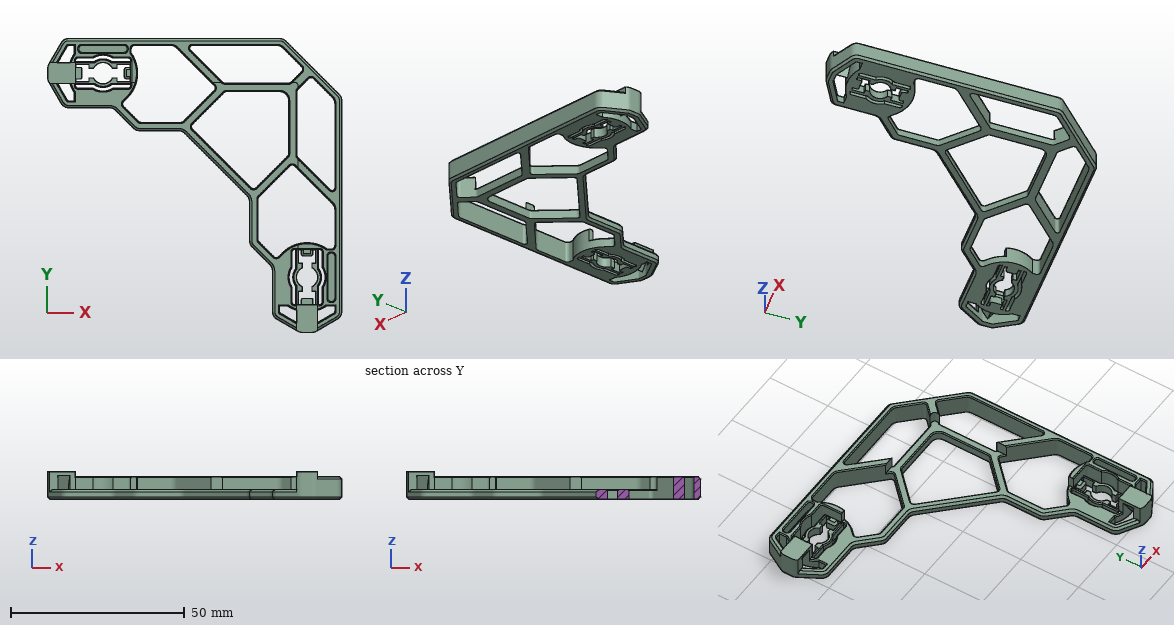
import cadquery as cq
import math

size = 85.0
low_height = 2.9
tall_height = 6.6
block_height = 8.1
outer_chamfer = 0.7
edge_chamfer = 0.3
outline_radius = 2.55
opening_radius = 1.0
wide_radius = 2.55
rib_radius = 2.4
acute_radius = 0.8
tall_limit = 72.3

outer_wall = 2.0
bar_width = 2.5
corner_cut = 16.9
inner_rim = 58.3
inner_diagonal = 97.15
ring_outer = 72.1
ring_diagonal = 18.4
rib_near = 119.5
rib_far = 122.9
corner_rib_width = 2.9

lobe_x = 16.0
lobe_radius = 10.0
lobe_y = size - lobe_radius
tip_half_width = 2.0
tip_slope = 60.0
lobe_neck = 18.9
lobe_step = 24.1

channel_start = 8.1
channel_end = 24.0
channel_half_width = 4.3
channel_bulge = 5.2
channel_radius = 0.7
clip_half_width = 3.3
clip_bulge = 4.2
opening_start = 8.2
opening_end = 23.8
opening_half_width = 2.5
opening_bulge = 3.1
nub_half_length = 4.1
nub_half_gap = 1.4
tab_length = 1.7
tab_half_width = 1.7

tab_radius = 0.4
far_tab_radius = 0.8
tab_bevel = 0.7

block_length = 8.0
block_half_width = 3.1
tip_wall = 2.0
tunnel_end = 7.65
tunnel_roof = 7.0
roof_slope = 60.0

pocket_start = 9.0
pocket_end = 22.95
pocket_bottom = 81.0
pocket_radius = 0.85

diagonal = math.sqrt(2)
rim_inside = size - outer_wall
tip_length = (lobe_radius - tip_half_width) / math.tan(math.radians(tip_slope))
lobe_bottom = lobe_y - lobe_radius
neck_sum = lobe_neck + lobe_bottom
bevel_inside = 2 * size - corner_cut - outer_wall * diagonal
ring_inner = ring_outer - bar_width


def crossing(total, difference):
    """Point where x + y = total meets y - x = difference."""
    return ((total - difference) / 2, (total + difference) / 2)


def mirrored(shape):
    """The same shape on the other arm, across the line x = y."""
    return shape.mirror((1, -1, 0))


def prism(points, height):
    return cq.Workplane("XY").polyline(points).close().extrude(height)


def box(x0, x1, y0, y1, height):
    return cq.Workplane("XY").box(x1 - x0, y1 - y0, height, centered=False).translate((x0, y0, 0))


def disc(radius, height):
    return cq.Workplane("XY").center(lobe_x, lobe_y).circle(radius).extrude(height)


def rounded(shape, radius, points):
    """Round the upright edges of the shape that stand at the given points."""
    for x, y in points:
        edge = shape.edges("|Z").edges(cq.NearestToPointSelector((x, y, shape.val().Center().z)))
        shape = edge.fillet(radius)
    return shape


def outline(height):
    half = [
        (size - corner_cut, size),
        (tip_length, size),
        (0, lobe_y + tip_half_width),
        (0, lobe_y - tip_half_width),
        (tip_length, lobe_bottom),
        (lobe_neck, lobe_bottom),
        (neck_sum - inner_rim, inner_rim),
        (inner_diagonal - inner_rim, inner_rim),
    ]
    other_half = [(y, x) for x, y in reversed(half)]
    return prism(half + other_half, height).edges("|Z").fillet(outline_radius)


def lobe_side_opening(height):
    rim_sum = neck_sum + bar_width * diagonal
    rim_top = inner_rim + bar_width
    ring_side = ring_diagonal + bar_width * diagonal
    tangent = lobe_radius / diagonal
    neck = crossing(rim_sum, lobe_y - lobe_x - lobe_radius * diagonal)
    step_rise = math.sqrt(lobe_radius**2 - (lobe_step - lobe_x) ** 2)
    rib_top = (rib_near - rim_inside, rim_inside)
    sharp = [
        (lobe_step, rim_inside),
        crossing(rib_near, ring_side),
        (rim_top - ring_side, rim_top),
        (rim_sum - rim_top, rim_top),
        neck,
    ]
    shape = (
        cq.Workplane("XY")
        .polyline([sharp[0], rib_top] + sharp[1:] + [(lobe_x + tangent, lobe_y - tangent)])
        .threePointArc((lobe_x + lobe_radius, lobe_y), (lobe_step, lobe_y + step_rise))
        .close()
        .extrude(height)
    )
    return rounded(rounded(shape, opening_radius, sharp), rib_radius, [rib_top])


def bevel_opening(height):
    rib_side = corner_rib_width / diagonal
    acute = (rib_far - rim_inside, rim_inside)
    bevel = (bevel_inside - rim_inside, rim_inside)
    sharp = [
        crossing(bevel_inside, rib_side),
        (ring_outer - rib_side, ring_outer),
        (rib_far - ring_outer, ring_outer),
    ]
    shape = prism([acute, bevel] + sharp, height)
    shape = rounded(shape, acute_radius, [acute])
    shape = rounded(shape, wide_radius, [bevel])
    return rounded(shape, opening_radius, sharp)


def ring_opening(height):
    corner = (ring_inner, ring_inner)
    left = [
        crossing(inner_diagonal + bar_width * diagonal, ring_diagonal),
        (ring_inner - ring_diagonal, ring_inner),
    ]
    right = [(y, x) for x, y in reversed(left)]
    shape = rounded(prism(left + [corner] + right, height), opening_radius, left + right)
    return rounded(shape, wide_radius, [corner])


def tip_opening(height):
    inset = outline(height).faces("<Z").wires().toPending().offset2D(-tip_wall).extrude(height, combine=False)
    return inset.intersect(box(0, tunnel_end, 0, size, height)).cut(disc(lobe_radius, height))


def bulged_slot(start, end, half_width, bulge, height):
    """Straight slot along X with a round bulge at the lobe centre."""
    slot = box(start, end, lobe_y - half_width, lobe_y + half_width, height)
    return slot.union(disc(bulge, height))


def channel(height):
    slot = bulged_slot(channel_start, channel_end, channel_half_width, channel_bulge, height)
    return slot.edges("|Z").edges("<X or >X").fillet(channel_radius)


def clip_gaps(height):
    """The narrow gap on each side of the clip."""
    return channel(height).cut(
        bulged_slot(channel_start, channel_end, clip_half_width, clip_bulge, height)
    )


def tab(start, height):
    return box(start, start + tab_length, lobe_y - tab_half_width, lobe_y + tab_half_width, height)


def clip_opening(height):
    """Hole inside the clip, with its nubs and its two end tabs left standing."""
    ends = box(opening_start, opening_end, lobe_y - opening_half_width, lobe_y + opening_half_width, height)
    nubs = box(lobe_x - nub_half_length, lobe_x + nub_half_length, 0, size, height)
    waist = box(
        lobe_x - nub_half_length, lobe_x + nub_half_length,
        lobe_y - nub_half_gap, lobe_y + nub_half_gap, height,
    )
    opening = ends.cut(nubs).union(waist).union(disc(opening_bulge, height))
    near_tab = tab(opening_start, height).edges("|Z and >X").fillet(tab_radius)
    far_tab = tab(opening_end - tab_length, height).edges("|Z and <X").fillet(far_tab_radius)
    far_tab = far_tab.faces("<X").edges(">Z").chamfer(tab_bevel)
    return opening.cut(near_tab).cut(far_tab)


def pocket(height):
    shape = box(pocket_start, pocket_end, pocket_bottom, rim_inside, height)
    return shape.edges("|Z").fillet(pocket_radius)


def plate(height, lobe_openings):
    """Outline of the given height with its chamfers, the frame openings and those of the lobes."""
    body = outline(height).faces("<Z or >Z").chamfer(outer_chamfer)
    body = body.cut(ring_opening(height))
    for opening in (lobe_side_opening, bevel_opening, tip_opening, *lobe_openings):
        cutter = opening(height)
        body = body.cut(cutter).cut(mirrored(cutter))
    rims = [edge for wire in body.faces(">Z").val().innerWires() for edge in wire.Edges()]
    return body.newObject(rims).chamfer(edge_chamfer)


def roof_wedge():
    """Underside of the block, sloping down from both sides to a ridge along its middle."""
    ridge = tunnel_roof - block_half_width * math.tan(math.radians(roof_slope))
    return (
        cq.Workplane("YZ")
        .polyline([
            (lobe_y - block_half_width, tunnel_roof),
            (lobe_y + block_half_width, tunnel_roof),
            (lobe_y, ridge),
        ])
        .close()
        .extrude(block_length)
    )


def block():
    """Stop block at the lobe tip, hollowed from below by the tip opening."""
    body = outline(block_height).faces("<Z").chamfer(outer_chamfer)
    limits = box(0, block_length, lobe_y - block_half_width, lobe_y + block_half_width, block_height)
    return body.intersect(limits).cut(tip_opening(tunnel_roof).cut(roof_wedge()))


clip_cutter = clip_opening(low_height)
low_plate = plate(low_height, [clip_gaps]).cut(clip_cutter).cut(mirrored(clip_cutter))
low_zone = rounded(
    box(0, tall_limit, 0, tall_limit, tall_height), opening_radius, [(tall_limit, tall_limit)]
)
tall_plate = plate(tall_height, [channel, pocket]).cut(low_zone)
stop_block = block()

result = low_plate.union(tall_plate).union(stop_block).union(mirrored(stop_block))